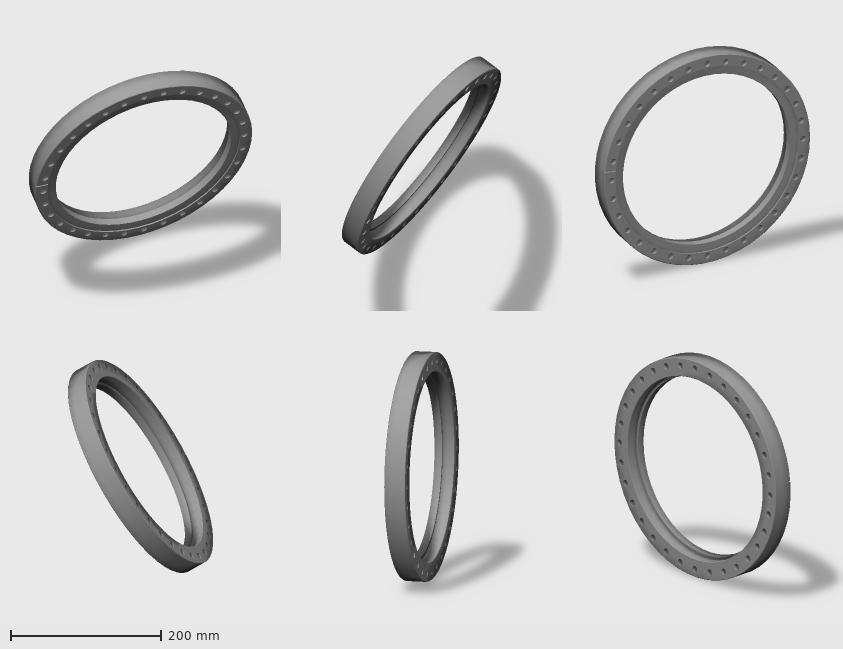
import cadquery as cq

thickness = 28.45
outer_radius = 153.0
socket_radius = 127.5
bore_radius = 123.9
socket_depth = 16.0
rim_chamfer = 0.75
socket_chamfer = 0.6

bolt_count = 32
bolt_circle_radius = 142.0
bolt_hole_diameter = 8.5
entry_diameter = 8.8
entry_depth = 2.6

slot_width = 2.0
slot_depth = 3.5
slot_overrun = 1.0
recess_radius = 136.0
recess_depth = 2.0

bolt_pitch = 360.0 / bolt_count


def ring_body():
    """Ring turned about the X axis: socket on the -X side, bore behind it, shallow recess on +X."""
    half_section = [
        (0, socket_radius + socket_chamfer),
        (0, outer_radius - rim_chamfer),
        (rim_chamfer, outer_radius),
        (thickness - rim_chamfer, outer_radius),
        (thickness, outer_radius - rim_chamfer),
        (thickness, recess_radius),
        (thickness - recess_depth, recess_radius),
        (thickness - recess_depth, bore_radius),
        (socket_depth, bore_radius),
        (socket_depth, socket_radius),
        (socket_chamfer, socket_radius),
    ]
    section = cq.Workplane("XY").polyline(half_section).close()
    return section.revolve(360, (0, 0, 0), (1, 0, 0))


def bolt_cylinders(diameter, depth):
    """Cylinders reaching in from the -X face, evenly spaced with one on the +Z axis."""
    return (
        cq.Workplane("YZ")
        .polarArray(bolt_circle_radius, 90, 360, bolt_count)
        .circle(diameter / 2)
        .extrude(depth)
    )


def bolt_holes():
    """Through holes, each with a slightly wider entry on the -X side."""
    through = bolt_cylinders(bolt_hole_diameter, thickness)
    return through.union(bolt_cylinders(entry_diameter, entry_depth))


def leak_check_slot():
    """Radial slot in the +X face, midway between the bolt hole on -Y and the next one up."""
    length = outer_radius - recess_radius + slot_overrun
    slot = cq.Workplane("XY").box(slot_depth, length, slot_width, centered=(False, False, True))
    slot = slot.translate((thickness - slot_depth, -recess_radius - length, 0))
    return slot.rotate((0, 0, 0), (1, 0, 0), -bolt_pitch / 2)


result = ring_body().cut(bolt_holes()).cut(leak_check_slot())